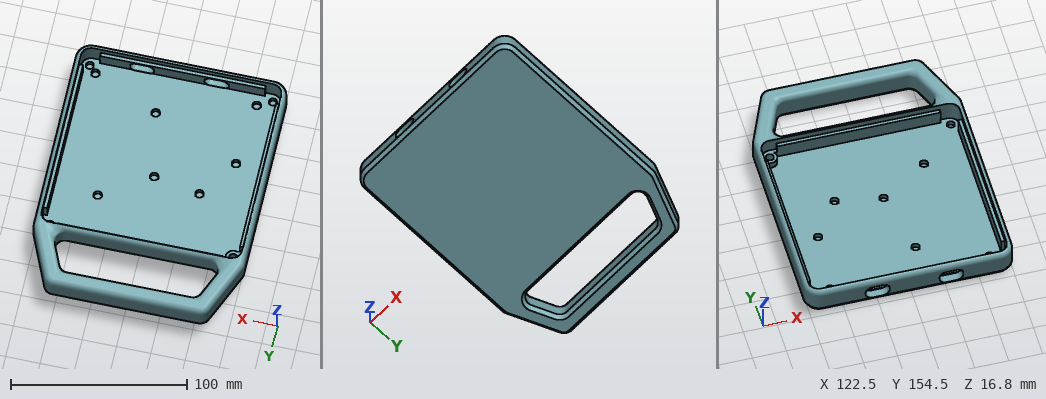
import cadquery as cq
import math

width = 122.5
length = 154.5
height = 16.8

wall = 3.0
floor_thickness = 4.0
top_rounding = 3.2
chamfer_height = 3.2
chamfer_inset = 2.0
front_corner_radius = 9.0

handle_top_half_width = 46.4
handle_corner_radius = 6.0
handle_bar = 10.0
opening_corner_radius = 5.7
pocket_back = 116.5
shoulder_y = pocket_back + wall

pocket_half_width = width / 2 - wall
pocket_corner_radius = front_corner_radius - wall

rib_thickness = 2.2
rib_top = 13.0
cross_rib_half_length = 48.0
side_rib_front = 12.8
side_rib_back = 106.3

corner_hole_diameter = 4.6
corner_hole_x = 53.3
corner_hole_front = 7.7
corner_hole_back = 111.5
floor_hole_diameter = 5.0
floor_hole_positions = [
    (-44.8, 11.9), (49.1, 11.9), (10.2, 29.0), (-41.4, 50.7),
    (2.2, 68.9), (-25.3, 74.0), (30.9, 87.5),
]
hole_depth = 3.0
boss_radius = 4.3
boss_top = 8.2
boss_blend_radius = 1.1

port_top = 12.0
left_port_x = -20.0
left_port_width = 14.4
left_port_radius = 4.3
right_port_x = 23.5
right_port_width = 13.9
right_port_radius = 3.9
port_bottom = 3.2

margin = 0.2


def block(x_min, x_max, y_min, y_max, z_min, z_max):
    """Axis-aligned box given by its limits."""
    return cq.Workplane("XY").box(
        x_max - x_min, y_max - y_min, z_max - z_min, centered=False
    ).translate((x_min, y_min, z_min))


def cylinders(positions, diameter, z_min, z_max):
    """Upright cylinders of one diameter at the given positions."""
    return cq.Workplane("XY").workplane(offset=z_min).pushPoints(positions).circle(
        diameter / 2).extrude(z_max - z_min)


def make_body():
    """Solid plate with the tapered handle outline, rounded on top and chamfered below."""
    half = width / 2
    top = handle_top_half_width
    outline = [
        (-half, 0), (half, 0), (half, shoulder_y),
        (top, length), (-top, length), (-half, shoulder_y),
    ]
    body = cq.Workplane("XY").polyline(outline).close().extrude(height)
    body = body.edges("|Z").edges("<Y").fillet(front_corner_radius)
    handle_zone = cq.selectors.BoxSelector((-width, length / 2, 0), (width, 2 * length, height))
    body = body.edges("|Z").edges(handle_zone).fillet(handle_corner_radius)
    body = body.faces(">Z").edges().fillet(top_rounding)
    return body.faces("<Z").edges().chamfer(chamfer_height, chamfer_inset)


def cut_handle_opening(body):
    """Trapezoid grip opening; its rounded corners run out to points on the rounded top rim."""
    slope_x = width / 2 - handle_top_half_width
    slope_y = length - shoulder_y
    side_shift = handle_bar * math.hypot(slope_x, slope_y) / slope_y
    opening_back = length - handle_bar
    front_half = width / 2 - side_shift
    back_half = front_half - slope_x * (opening_back - shoulder_y) / slope_y
    opening = cq.Workplane("XY").polyline([
        (-front_half, shoulder_y), (front_half, shoulder_y),
        (back_half, opening_back), (-back_half, opening_back),
    ]).close().extrude(height)

    def edges_around_opening(z_min, z_max):
        return cq.selectors.BoxSelector(
            (-front_half - margin, shoulder_y - margin, z_min - margin),
            (front_half + margin, opening_back + margin, z_max + margin))

    body = body.cut(opening)
    body = body.edges(edges_around_opening(height, height)).fillet(top_rounding)
    upright_edges = edges_around_opening(chamfer_height, height - top_rounding)
    body = body.edges("|Z").edges(upright_edges).fillet(opening_corner_radius)
    return body.edges(edges_around_opening(0, 0)).chamfer(chamfer_height, chamfer_inset)


def make_pocket():
    """Open tray space above the floor."""
    pocket = block(-pocket_half_width, pocket_half_width, wall, pocket_back, floor_thickness, height)
    return pocket.edges("|Z").fillet(pocket_corner_radius)


def make_ribs():
    """One straight rib along each of the four pocket walls."""
    z_range = (floor_thickness, rib_top)
    cross_range = (-cross_rib_half_length, cross_rib_half_length)
    side_range = (side_rib_front, side_rib_back)
    inner_x = pocket_half_width - rib_thickness
    ribs = block(*cross_range, wall, wall + rib_thickness, *z_range)
    ribs = ribs.union(block(*cross_range, pocket_back - rib_thickness, pocket_back, *z_range))
    ribs = ribs.union(block(-pocket_half_width, -inner_x, *side_range, *z_range))
    return ribs.union(block(inner_x, pocket_half_width, *side_range, *z_range))


def make_boss():
    """Low boss around the back left corner hole, blended into strips as thick as the ribs."""
    z_range = (floor_thickness, boss_top)
    left = -pocket_half_width
    boss = cylinders([(-corner_hole_x, corner_hole_back)], 2 * boss_radius, *z_range)
    boss = boss.union(block(
        left, -cross_rib_half_length, pocket_back - rib_thickness, pocket_back, *z_range))
    boss = boss.union(block(left, left + rib_thickness, side_rib_back, pocket_back, *z_range))
    meeting_edges = cq.selectors.BoxSelector(
        (left + rib_thickness / 2, side_rib_back + margin, floor_thickness),
        (-cross_rib_half_length - margin, pocket_back - rib_thickness / 2, boss_top))
    return boss.edges("|Z").edges(meeting_edges).edges("not >X").fillet(boss_blend_radius)


def make_port(x, port_width, radius):
    """Rounded port through the front wall and the rib behind it, slightly below the floor."""
    port = block(
        x - port_width / 2, x + port_width / 2, 0, wall + rib_thickness, port_bottom, port_top)
    return port.edges("|Y").fillet(radius)


body = cut_handle_opening(make_body())
interior = make_pocket()
body = body.cut(interior)
body = body.union(make_ribs())
body = body.union(make_boss().intersect(interior))

corner_holes = [
    (side * corner_hole_x, y) for side in (-1, 1) for y in (corner_hole_front, corner_hole_back)
]
hole_bottom = floor_thickness - hole_depth
body = body.cut(cylinders(corner_holes, corner_hole_diameter, hole_bottom, boss_top))
body = body.cut(cylinders(floor_hole_positions, floor_hole_diameter, hole_bottom, floor_thickness))
body = body.cut(make_port(left_port_x, left_port_width, left_port_radius))
result = body.cut(make_port(right_port_x, right_port_width, right_port_radius))